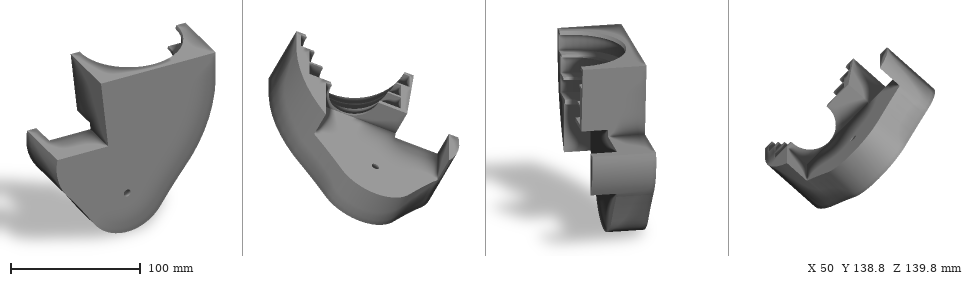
import cadquery as cq

width = 50.0
height = 139.8
block_half_depth = 50.0

straight_wall_end = 115.3
back_bulge = (43.7, 81.3)
ledge_height = 81.6
ledge_inner_y = -43.7
ledge_outer_y = -88.0
front_bulge = (-87.0, 61.1)
pivot_y = -27.1
pivot_radius = 35.0
pivot_hole_diameter = 6.0
waist_top = (49.8, 43.9)
waist_middle = (39.1, 29.9)
waist_bottom = (29.9, 16.8)

pocket_depth = 21.0
pocket_back_y = 25.0
pocket_front_y = -80.0
pocket_roof = 87.5

bore_axis_x = 1.0
groove_height = 14.0
lip_thickness = 2.0
top_lip_thickness = 3.0
groove_radii = (46.3, 39.1, 39.1)
lip_radii = (42.2, 35.1, 28.1, 21.0)
lip_taper = 0.33


def mirrored_pair(point):
    """Return the +Y and -Y positions of a point beside the pivot."""
    offset, z = point
    return (pivot_y + offset, z), (pivot_y - offset, z)


def make_body():
    back_top, front_top = mirrored_pair(waist_top)
    back_middle, front_middle = mirrored_pair(waist_middle)
    back_bottom, front_bottom = mirrored_pair(waist_bottom)
    return (
        cq.Workplane("YZ")
        .moveTo(-block_half_depth, height)
        .lineTo(block_half_depth, height)
        .lineTo(block_half_depth, straight_wall_end)
        .threePointArc(back_bulge, back_top)
        .threePointArc(back_middle, back_bottom)
        .threePointArc((pivot_y, 0), front_bottom)
        .threePointArc(front_middle, front_top)
        .threePointArc(front_bulge, (ledge_outer_y, ledge_height))
        .lineTo(ledge_inner_y, ledge_height)
        .close()
        .extrude(width)
    )


def make_pocket():
    return cq.Workplane("XY").box(
        pocket_depth, pocket_back_y - pocket_front_y, pocket_roof, centered=False
    ).translate((0, pocket_front_y, 0))


def make_stepped_bore():
    """Revolve the tapered lips and the ring grooves between them."""
    z = height
    points = [(0, height)]
    for index, lip_radius in enumerate(lip_radii):
        is_last = index == len(groove_radii)
        if is_last:
            lip_bottom = pocket_roof
        else:
            lip_bottom = z - (top_lip_thickness if index == 0 else lip_thickness)
        points.append((lip_radius, z))
        points.append((lip_radius - lip_taper * (z - lip_bottom), lip_bottom))
        if not is_last:
            z = lip_bottom - groove_height
            points.append((groove_radii[index], lip_bottom))
            points.append((groove_radii[index], z))
    points.append((0, pocket_roof))
    bore = cq.Workplane("XZ").polyline(points).close().revolve(360, (0, 0), (0, 1))
    return bore.translate((bore_axis_x, 0, 0))


def make_pivot_hole():
    return (
        cq.Workplane("YZ")
        .center(pivot_y, pivot_radius)
        .circle(pivot_hole_diameter / 2)
        .extrude(width)
    )


result = make_body().cut(make_pocket()).cut(make_stepped_bore()).cut(make_pivot_hole())